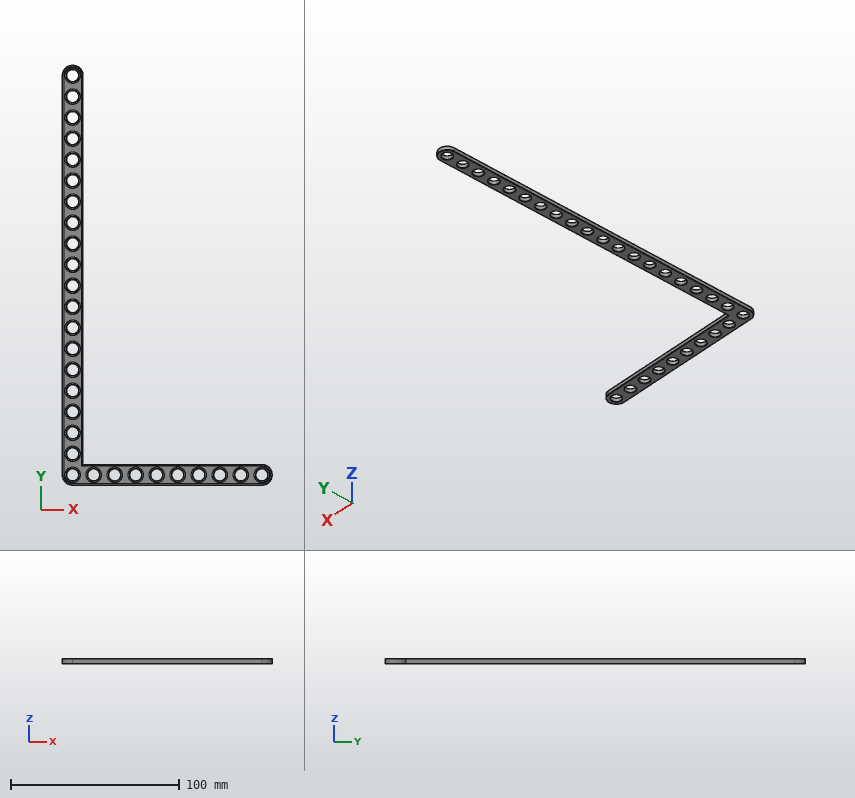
import cadquery as cq

pitch = 12.5
thickness = pitch / 4
holes_along_x = 10
holes_along_y = 20
hole_diameter = 7.0
collar_diameter = 9.2
rim_width = (collar_diameter - hole_diameter) / 2
recess_depth = 0.2
edge_chamfer = 0.3

hole_centers = [(i * pitch, 0) for i in range(holes_along_x)]
hole_centers += [(0, j * pitch) for j in range(1, holes_along_y)]


def arm(hole_count, width, height):
    """Round-ended bar along X, with its first end centred on the origin."""
    span = (hole_count - 1) * pitch
    return cq.Workplane("XY").center(span / 2, 0).slot2D(span + width, width).extrude(height)


def l_shape(width, height):
    """L-shaped plate whose two arms share the round corner at the origin."""
    arm_x = arm(holes_along_x, width, height)
    arm_y = arm(holes_along_y, width, height).rotate((0, 0, 0), (0, 0, 1), 90)
    return arm_x.union(arm_y)


def cylinders(diameter, height):
    """One upright cylinder at every hole position."""
    return cq.Workplane("XY").pushPoints(hole_centers).circle(diameter / 2).extrude(height)


def perforated_plate():
    """Plate with its row of holes, all top and bottom edges chamfered."""
    plate = l_shape(pitch, thickness).cut(cylinders(hole_diameter, thickness))
    return plate.faces("<Z or >Z").edges().chamfer(edge_chamfer)


def top_recess():
    """Shallow sunken floor between the outer rim and the hole collars."""
    recess = l_shape(pitch - 2 * rim_width, recess_depth)
    recess = recess.cut(cylinders(collar_diameter, recess_depth))
    return recess.translate((0, 0, thickness - recess_depth))


result = perforated_plate().cut(top_recess())